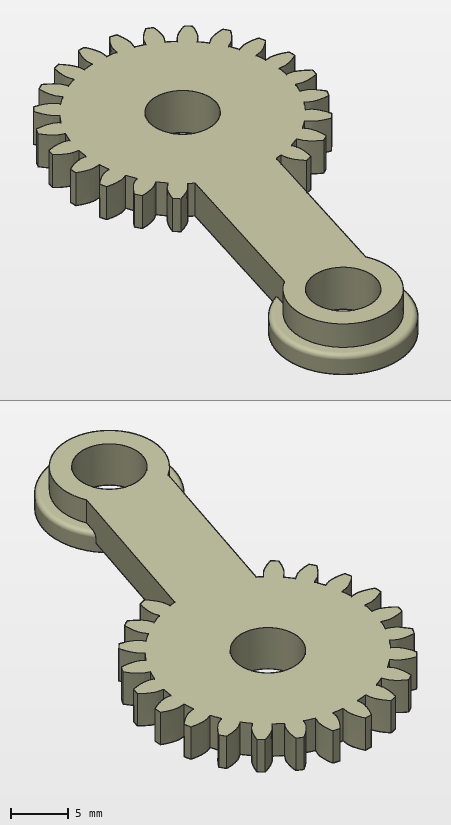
import cadquery as cq
import math

TOOTH_COUNT = 24
TIP_RADIUS = 13.0
MODULE = 2 * TIP_RADIUS / (TOOTH_COUNT + 2)
TOOTH_DEPTH = 2.3 * MODULE
ROOT_RADIUS = TIP_RADIUS - TOOTH_DEPTH
PRESSURE_ANGLE = math.radians(20)
INVOLUTE_POINTS = 6
TEETH_UNDER_ARM = 3
PITCH_ANGLE = 360 / TOOTH_COUNT

BOSS_HEIGHT = 1.0
PLATE_THICKNESS = 3.55
TOTAL_HEIGHT = BOSS_HEIGHT + PLATE_THICKNESS
FLANGE_HEIGHT = 2.0

BORE_RADIUS = 3.3
GEAR_BOSS_RADIUS = 4.5
GEAR_BOSS_FILLET = 0.25
EYE_RADIUS = 5.25
FLANGE_RADIUS = 6.5
FLANGE_FILLET = 0.5
ARM_WIDTH = 8.0
ARM_ANGLE = 10.5
OVERALL_LENGTH = 49
ARM_LENGTH = (OVERALL_LENGTH - TIP_RADIUS - FLANGE_RADIUS) / math.cos(math.radians(ARM_ANGLE))


def polar(radius, angle):
    """Point at a radius and an angle in radians."""
    return (radius * math.cos(angle), radius * math.sin(angle))


def involute_angle(radius, base_radius):
    """Polar angle that the involute has swept when it reaches a radius."""
    pressure = math.acos(base_radius / radius)
    return math.tan(pressure) - pressure


def make_tooth():
    """One involute tooth on the +X axis, with radial flanks below the base circle."""
    pitch_radius = MODULE * TOOTH_COUNT / 2
    base_radius = pitch_radius * math.cos(PRESSURE_ANGLE)
    base_half_angle = math.pi / (2 * TOOTH_COUNT) + involute_angle(pitch_radius, base_radius)

    lower_flank = []
    for i in range(INVOLUTE_POINTS):
        radius = base_radius + (TIP_RADIUS - base_radius) * (i / (INVOLUTE_POINTS - 1)) ** 2
        lower_flank.append(polar(radius, involute_angle(radius, base_radius) - base_half_angle))
    upper_flank = [(x, -y) for x, y in reversed(lower_flank)]

    foot_radius = ROOT_RADIUS - MODULE
    return (
        cq.Workplane("XY", origin=(0, 0, BOSS_HEIGHT))
        .moveTo(*polar(foot_radius, -base_half_angle))
        .lineTo(*lower_flank[0])
        .spline(lower_flank[1:], includeCurrent=True)
        .threePointArc((TIP_RADIUS, 0), upper_flank[0])
        .spline(upper_flank[1:], includeCurrent=True)
        .lineTo(*polar(foot_radius, base_half_angle))
        .close()
        .extrude(PLATE_THICKNESS)
    )


def make_gear():
    """Root disc with teeth all round except where the arm leaves it."""
    gear = cq.Workplane("XY", origin=(0, 0, BOSS_HEIGHT)).circle(ROOT_RADIUS).extrude(PLATE_THICKNESS)
    tooth = make_tooth()
    first_tooth = (TEETH_UNDER_ARM + 1) // 2
    for i in range(first_tooth, first_tooth + TOOTH_COUNT - TEETH_UNDER_ARM):
        gear = gear.union(tooth.rotate((0, 0, 0), (0, 0, 1), i * PITCH_ANGLE))
    return gear


def make_gear_boss():
    """Low round boss under the gear, rounded at its lower edge."""
    boss = cq.Workplane("XY").circle(GEAR_BOSS_RADIUS).extrude(BOSS_HEIGHT)
    return boss.faces("<Z").edges().fillet(GEAR_BOSS_FILLET)


def make_arm():
    """Straight arm from the gear centre to the eye, with the round eye at its end."""
    plate = cq.Workplane("XY", origin=(0, 0, BOSS_HEIGHT))
    bar = plate.center(ARM_LENGTH / 2, 0).rect(ARM_LENGTH, ARM_WIDTH).extrude(PLATE_THICKNESS)
    eye = (
        cq.Workplane("XY", origin=(ARM_LENGTH, 0, BOSS_HEIGHT))
        .circle(EYE_RADIUS)
        .extrude(PLATE_THICKNESS)
    )
    return bar.union(eye)


def make_flange():
    """Wide flange around the lower part of the eye, rounded at its upper edge."""
    flange = cq.Workplane("XY", origin=(ARM_LENGTH, 0, 0)).circle(FLANGE_RADIUS).extrude(FLANGE_HEIGHT)
    return flange.faces(">Z").edges().fillet(FLANGE_FILLET)


body = make_gear().union(make_gear_boss()).union(make_arm()).union(make_flange())
bores = (
    cq.Workplane("XY")
    .pushPoints([(0, 0), (ARM_LENGTH, 0)])
    .circle(BORE_RADIUS)
    .extrude(TOTAL_HEIGHT)
)
result = body.cut(bores).rotate((0, 0, 0), (0, 0, 1), ARM_ANGLE)